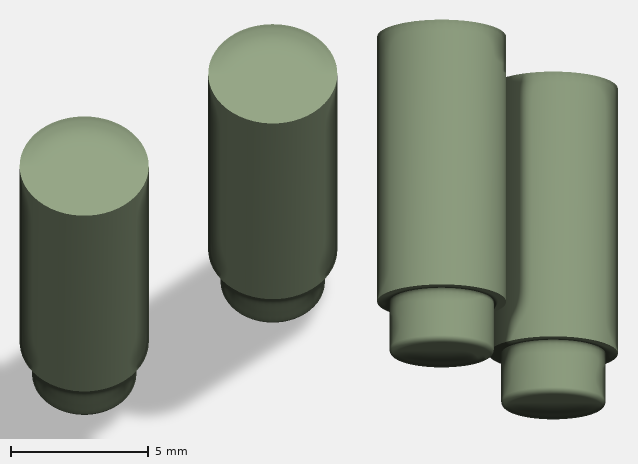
import cadquery as cq

body_diameter = 4.7
body_length = 10.0
tip_diameter = 3.8
tip_length = 2.0
tip_fillet = 0.2
pin_spacing = 8.13


def make_pin(y_position):
    """Stepped pin with a rounded tip, its lower end on Z = 0."""
    tip = cq.Workplane("XY").circle(tip_diameter / 2).extrude(tip_length)
    tip = tip.faces("<Z").edges().fillet(tip_fillet)
    body = (
        cq.Workplane("XY")
        .workplane(offset=tip_length)
        .circle(body_diameter / 2)
        .extrude(body_length)
    )
    return body.union(tip).translate((0, y_position, 0))


pins = [make_pin(side * pin_spacing / 2) for side in (-1, 1)]

result = cq.Compound.makeCompound([pin.val() for pin in pins])